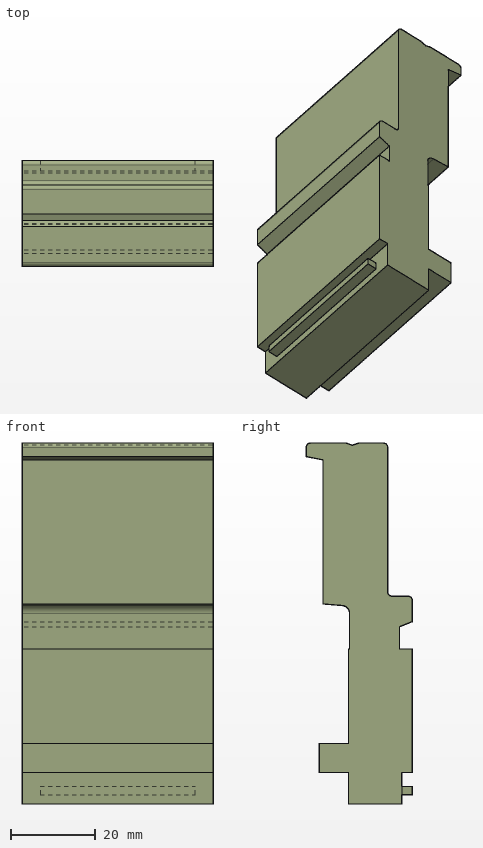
import cadquery as cq

width = 45.0
depth = 25.0
height = 85.0

foot_front_y = 3.1
upper_front_y = 3.9
lower_front_y = 9.95
waist_front_y = 10.2
upper_back_y = 19.2
waist_back_y = 22.0
base_back_y = 22.5

foot_bottom_z = 7.4
foot_top_z = 14.3
waist_bottom_z = 36.55
hook_root_z = 41.7
hook_tip_z = 42.9
overhang_inner_z = 46.6
overhang_outer_z = 47.1
shelf_z = 49.0
lip_root_z = 81.0
lip_tip_z = 81.8

groove_y = 10.9
groove_width = 3.0
groove_depth = 0.5

edge_radius = 1.0
overhang_radius = 1.9

rail_inset = 4.25
rail_height = 1.95
rail_bottom_z = 2.2


def make_body():
    """Extrude the constant side profile across the full width."""
    profile = [
        (lower_front_y, 0),
        (lower_front_y, foot_bottom_z),
        (foot_front_y, foot_bottom_z),
        (foot_front_y, foot_top_z),
        (lower_front_y, foot_top_z),
        (lower_front_y, waist_bottom_z),
        (waist_front_y, waist_bottom_z),
        (waist_front_y, overhang_inner_z),
        (upper_front_y, overhang_outer_z),
        (upper_front_y, lip_root_z),
        (0, lip_tip_z),
        (0, height),
        (upper_back_y, height),
        (upper_back_y, shelf_z),
        (depth, shelf_z),
        (depth, hook_tip_z),
        (waist_back_y, hook_root_z),
        (waist_back_y, waist_bottom_z),
        (depth, waist_bottom_z),
        (depth, foot_bottom_z),
        (base_back_y, foot_bottom_z),
        (base_back_y, 0),
    ]
    return cq.Workplane("YZ").polyline(profile).close().extrude(width)


def round_edge(body, y, z, radius):
    """Round the profile corner at the given depth and height."""
    corner = cq.selectors.NearestToPointSelector((width / 2, y, z))
    return body.edges("|X").edges(corner).fillet(radius)


def make_groove():
    """V-shaped groove cutter running along the top face."""
    section = [
        (groove_y - groove_width / 2, height),
        (groove_y, height - groove_depth),
        (groove_y + groove_width / 2, height),
    ]
    return cq.Workplane("YZ").polyline(section).close().extrude(width)


def make_rail():
    """Rail on the back of the base, stopping short of both ends."""
    rail_length = width - 2 * rail_inset
    rail_depth = depth - base_back_y
    return (
        cq.Workplane("XY")
        .box(rail_length, rail_depth, rail_height, centered=False)
        .translate((rail_inset, base_back_y, rail_bottom_z))
    )


body = make_body()
body = round_edge(body, 0, height, edge_radius)
body = round_edge(body, upper_back_y, height, edge_radius)
body = round_edge(body, upper_back_y, shelf_z, edge_radius)
body = round_edge(body, depth, shelf_z, edge_radius)
body = round_edge(body, waist_front_y, overhang_inner_z, overhang_radius)

result = body.cut(make_groove()).union(make_rail())